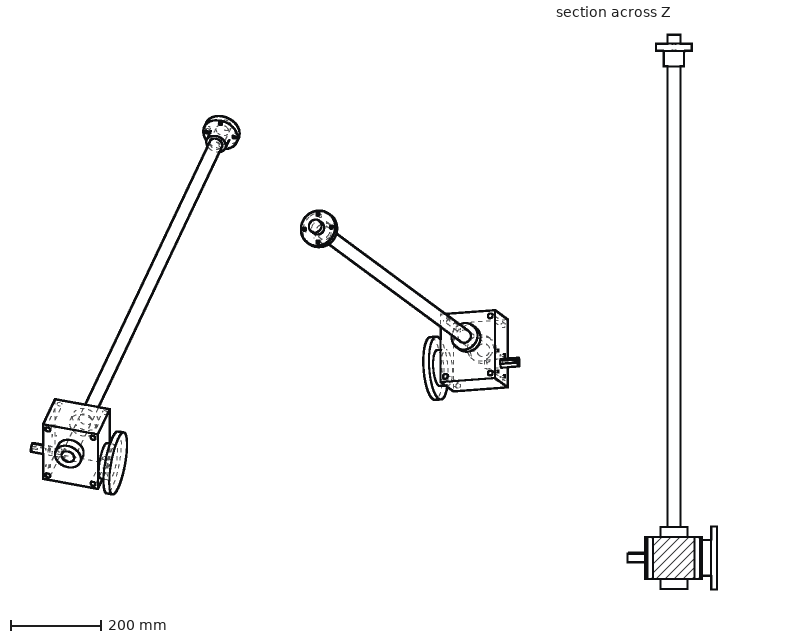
import cadquery as cq

housing_length = 126.0
housing_depth = 93.0
housing_height = 155.0
screw_to_top = 60.0
screw_to_side = 64.0
boss_diameter = 60.0
boss_span = 138.0
mount_hole_diameter = 11.0
mount_hole_inset_x = 11.0
mount_hole_inset_z = 12.0
cover_hole_diameter = 5.0
cover_hole_spacing = 48.0
cover_hole_depth = 10.0

housing_left = -screw_to_side
housing_right = housing_left + housing_length
housing_middle_x = (housing_left + housing_right) / 2
housing_middle_z = screw_to_top - housing_height / 2
mount_hole_spacing_x = housing_length - 2 * mount_hole_inset_x
mount_hole_spacing_z = housing_height - 2 * mount_hole_inset_z

axis_distance = 50.0
input_z = -axis_distance
shaft_diameter = 20.0
shaft_reach = 39.0
shaft_seat = 37.0
center_hole_diameter = 5.0
center_hole_depth = 12.0
key_width = 7.0
key_height = 6.0
key_rise = 2.0
key_end_gap = 4.0

shaft_start = housing_left - shaft_reach

flange_diameter = 140.0
flange_thickness = 14.0
collar_diameter = 80.0
collar_length = 20.0

overall_length = 1228.0
screw_diameter = 30.0
screw_start = -boss_span / 2
screw_end = overall_length - flange_diameter / 2

nut_flange_diameter = 80.0
nut_flange_thickness = 16.0
nut_body_diameter = 45.0
nut_body_length = 34.0
nut_root_fillet = 2.0
nut_hole_diameter = 7.0
nut_hole_circle = 63.0
nut_hole_count = 4
screw_past_nut = 20.0

nut_end = screw_end - screw_past_nut
nut_step = nut_end - nut_flange_thickness
nut_start = nut_step - nut_body_length


def y_cylinder(diameter, start, end):
    """Cylinder on the screw axis between two Y positions."""
    plane = cq.Plane(origin=(0, start, 0), xDir=(1, 0, 0), normal=(0, 1, 0))
    return cq.Workplane(plane).circle(diameter / 2).extrude(end - start)


def x_cylinder(diameter, start, length):
    """Cylinder on the input axis, from an X position toward +X."""
    return cq.Workplane("YZ", origin=(start, 0, input_z)).circle(diameter / 2).extrude(length)


def make_screw():
    return y_cylinder(screw_diameter, screw_start, screw_end)


def make_nut():
    """Flanged nut with a filleted root and a ring of bolt holes."""
    body = y_cylinder(nut_body_diameter, nut_start, nut_step)
    nut = body.union(y_cylinder(nut_flange_diameter, nut_step, nut_end))
    flange_face = nut.faces("<Y[1]")
    root_edge = flange_face.edges("%CIRCLE").edges(cq.selectors.RadiusNthSelector(0))
    nut = root_edge.fillet(nut_root_fillet)
    holes = (
        cq.Workplane("XZ", origin=(0, nut_end, 0))
        .polarArray(nut_hole_circle / 2, 0, 360, nut_hole_count)
        .circle(nut_hole_diameter / 2)
        .extrude(nut_flange_thickness)
    )
    return nut.cut(holes).cut(make_screw())


def make_shaft_core():
    """Plain round shaft, also used to cut its seat in the housing."""
    return x_cylinder(shaft_diameter, shaft_start, shaft_reach + shaft_seat)


def make_key():
    """Key on the +Y side of the shaft, ending at the housing."""
    key_start = shaft_start + key_end_gap
    key_top = shaft_diameter / 2 + key_rise
    key_length = housing_left - key_start
    key = cq.Workplane("XY").box(key_length, key_height, key_width, centered=(False, False, True))
    return key.translate((key_start, key_top - key_height, input_z))


def make_shaft():
    center_hole = x_cylinder(center_hole_diameter, shaft_start, center_hole_depth)
    return make_shaft_core().union(make_key()).cut(center_hole)


def make_flange():
    collar = x_cylinder(collar_diameter, housing_right, collar_length)
    disc = x_cylinder(flange_diameter, housing_right + collar_length, flange_thickness)
    return collar.union(disc)


def make_housing():
    """Block with a boss on each Y side, corner holes, cover holes and the two seats."""
    block = cq.Workplane("XY").box(housing_length, housing_depth, housing_height)
    block = block.translate((housing_middle_x, 0, housing_middle_z))
    block = block.union(y_cylinder(boss_diameter, -boss_span / 2, boss_span / 2))
    mount_holes = (
        cq.Workplane("XZ", origin=(housing_middle_x, 0, housing_middle_z))
        .rarray(mount_hole_spacing_x, mount_hole_spacing_z, 2, 2)
        .circle(mount_hole_diameter / 2)
        .extrude(housing_depth, both=True)
    )
    cover_holes = (
        cq.Workplane("YZ", origin=(housing_left, 0, input_z))
        .rarray(cover_hole_spacing, cover_hole_spacing, 2, 2)
        .circle(cover_hole_diameter / 2)
        .extrude(cover_hole_depth)
    )
    return block.cut(mount_holes).cut(cover_holes).cut(make_screw()).cut(make_shaft_core())


housing = make_housing()
screw = make_screw()
nut = make_nut()
shaft = make_shaft()
flange = make_flange()

result = cq.Compound.makeCompound(
    [housing.val(), screw.val(), nut.val(), shaft.val(), flange.val()]
)